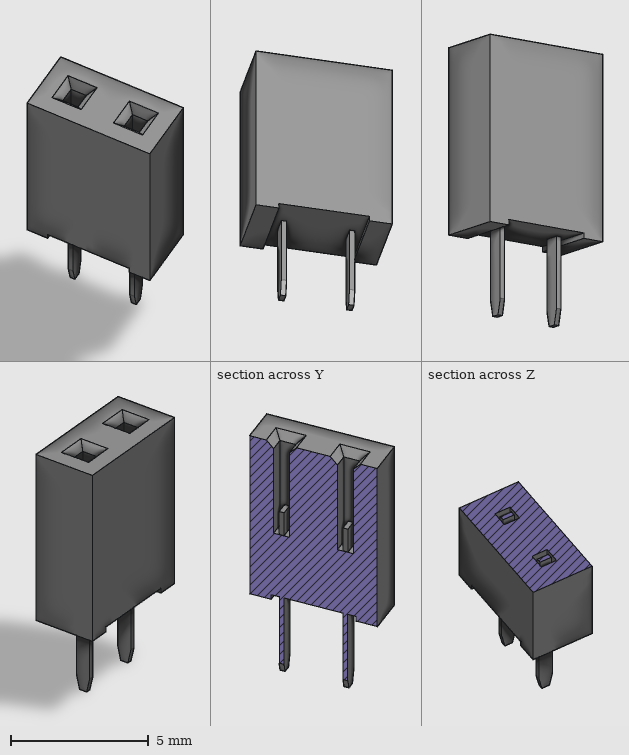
import cadquery as cq

body_length = 5.08
pin_count = 2
pitch = body_length / pin_count
body_width = 2.54
total_height = 10.1
body_height = 7.01
pin_length = total_height - body_height

channel_length = 3.37
channel_depth = 0.2

mouth_size = 1.2
hole_size = 0.63
mouth_depth = 0.3
hole_depth = 4.04

pin_thickness = 0.2
pin_width = 0.6
tip_width = 0.32
tip_length = 0.6
tongue_width = 0.48
tongue_height = 1.01

pin_places = [(i - (pin_count - 1) / 2) * pitch for i in range(pin_count)]
hole_floor = body_height - hole_depth


def make_body():
    body = cq.Workplane("XY").box(body_length, body_width, body_height, centered=(True, True, False))
    channel = cq.Workplane("XY").box(channel_length, body_width, channel_depth, centered=(True, True, False))
    return body.cut(channel)


def make_socket(x):
    mouth = (
        cq.Workplane("XY", origin=(x, 0, body_height - mouth_depth))
        .rect(hole_size, hole_size)
        .workplane(offset=mouth_depth)
        .rect(mouth_size, mouth_size)
        .loft(ruled=True)
    )
    hole = cq.Workplane("XY", origin=(x, 0, hole_floor)).box(
        hole_size, hole_size, hole_depth - mouth_depth, centered=(True, True, False)
    )
    return mouth.union(hole)


def make_pin(x):
    shoulder_z = tip_length - pin_length
    blade = (
        cq.Workplane("YZ", origin=(x, 0, 0))
        .polyline([
            (-tip_width / 2, -pin_length),
            (tip_width / 2, -pin_length),
            (pin_width / 2, shoulder_z),
            (pin_width / 2, hole_floor),
            (-pin_width / 2, hole_floor),
            (-pin_width / 2, shoulder_z),
        ])
        .close()
        .extrude(pin_thickness / 2, both=True)
    )
    tongue = cq.Workplane("XY", origin=(x, 0, hole_floor)).box(
        pin_thickness, tongue_width, tongue_height, centered=(True, True, False)
    )
    return blade.union(tongue)


result = make_body()
for pin_x in pin_places:
    result = result.cut(make_socket(pin_x)).union(make_pin(pin_x))